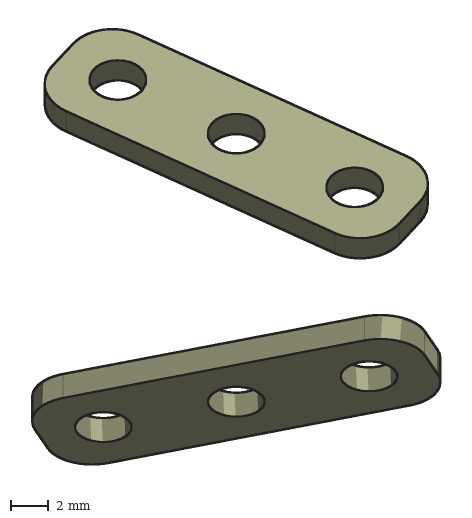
import cadquery as cq

length = 22.0
width = 7.0
thickness = 1.5
corner_radius = 2.5
hole_diameter = 3.0
hole_spacing = 7.5
hole_count = 3


def make_plate():
    """Flat bar centred on X and Y, resting on Z = 0, with rounded vertical corners."""
    plate = cq.Workplane("XY").box(length, width, thickness, centered=(True, True, False))
    return plate.edges("|Z").fillet(corner_radius)


def drill_holes(plate):
    """Row of equal through holes along the X axis, centred on the plate."""
    first_x = -hole_spacing * (hole_count - 1) / 2
    centers = [(first_x + i * hole_spacing, 0) for i in range(hole_count)]
    return plate.faces(">Z").workplane().pushPoints(centers).hole(hole_diameter)


result = drill_holes(make_plate())